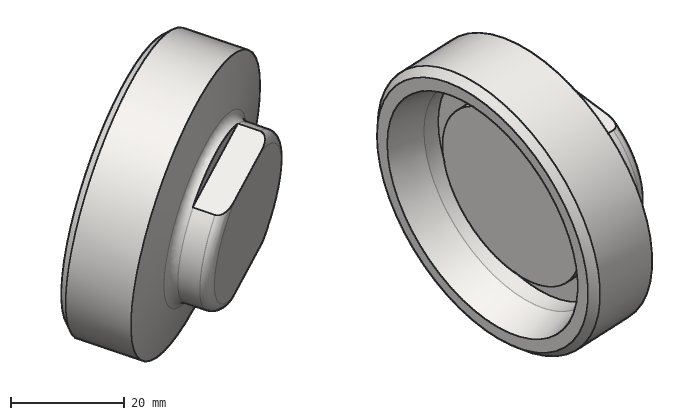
import cadquery as cq
import math

outer_diameter = 58.0
rim_width = 14.05
rim_chamfer = 1.5

total_length = 24.0
cone_angle = 10.0
neck_diameter = 33.9
edge_radius = 2.0
flats_distance = 27.15

mouth_diameter = 49.6
cavity_diameter = 45.8
taper_depth = 7.0
cavity_depth = 10.5
disc_diameter = 36.0

outer_radius = outer_diameter / 2
neck_radius = neck_diameter / 2
cone_length = (outer_radius - neck_radius) * math.tan(math.radians(cone_angle))
cone_end = rim_width + cone_length
fillet_setback = edge_radius * math.tan(math.radians(90 - cone_angle) / 2)
flats_start = cone_end + fillet_setback


def revolve_about_x(profile):
    return profile.close().revolve(360, (0, 0, 0), (1, 0, 0))


def make_body():
    body = revolve_about_x(
        cq.Workplane("XY")
        .lineTo(0, outer_radius - rim_chamfer)
        .lineTo(rim_chamfer, outer_radius)
        .lineTo(rim_width, outer_radius)
        .lineTo(cone_end, neck_radius)
        .lineTo(total_length, neck_radius)
        .lineTo(total_length, 0)
    )
    neck_edges = cq.selectors.BoxSelector(
        (cone_end - edge_radius / 2, -outer_radius, -outer_radius),
        (total_length + edge_radius, outer_radius, outer_radius),
    )
    return body.edges("%CIRCLE").edges(neck_edges).fillet(edge_radius)


def make_cavity():
    """Tapered mouth and straight bore, leaving the raised disc standing on the floor."""
    return revolve_about_x(
        cq.Workplane("XY")
        .lineTo(0, mouth_diameter / 2)
        .lineTo(taper_depth, cavity_diameter / 2)
        .lineTo(cavity_depth, cavity_diameter / 2)
        .lineTo(cavity_depth, disc_diameter / 2)
        .lineTo(taper_depth, disc_diameter / 2)
        .lineTo(taper_depth, 0)
    )


def make_flat_cut(side):
    """Block that trims the neck to a flat on the +Z (side = 1) or -Z (side = -1) face."""
    return cq.Workplane("XY").box(
        total_length - flats_start, outer_diameter, outer_radius, centered=(False, True, True)
    ).translate((flats_start, 0, side * (flats_distance / 2 + outer_radius / 2)))


result = make_body().cut(make_cavity())
for side in (1, -1):
    result = result.cut(make_flat_cut(side))